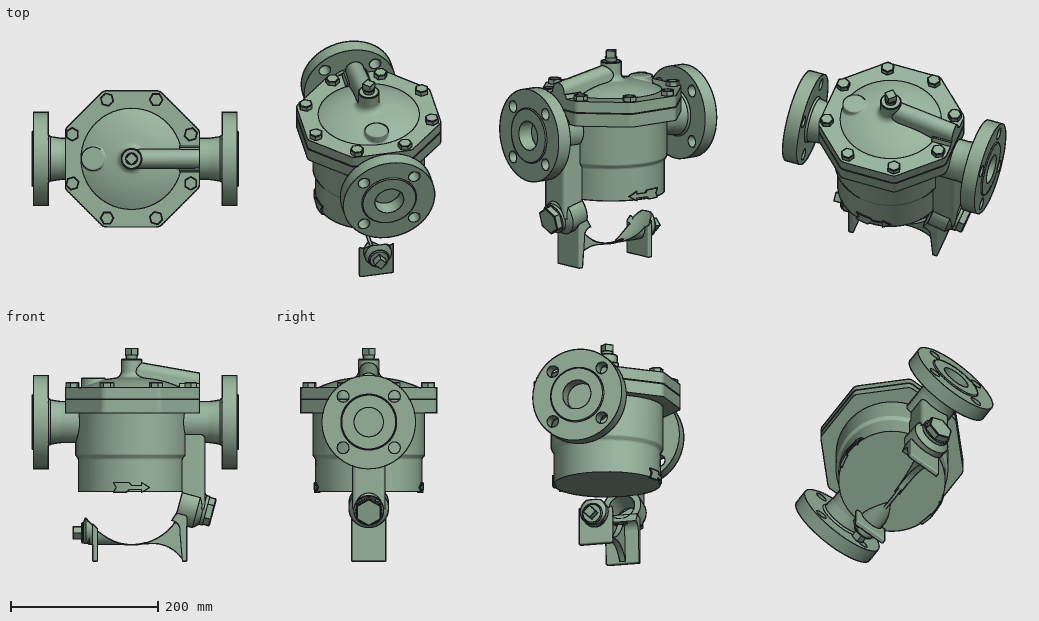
import cadquery as cq
import math

flange_face_x = 140.0
raised_face_height = 1.6
raised_face_dia = 76.0
raised_face_chamfer = 1.4
flange_dia = 127.0
flange_back_x = 118.0
flange_hole_dia = 16.0
flange_hole_circle_dia = 98.6
neck_dia = 56.0
neck_flare_start_x = 100.0
neck_flare_mid_x = 115.0
neck_flare_mid_radius = 30.3
neck_flange_radius = 32.5
port_dia = 40.0
port_depth = flange_face_x - flange_back_x

body_x = -5.0
body_upper_radius = 76.0
body_lower_radius = 72.3
body_step_top_z = -44.5
body_step_bottom_z = -50.0
body_step_fillet = 3.3
body_bottom_z = -94.3
bowl_inner_radius = 67.5

octagon_apothem = 92.5
octagon_left_half_width = 90.0
octagon_corner_fillet = 10.0
octagon_bottom_z = 12.6
gasket_z = 30.3
gasket_height = 1.0
gasket_recess = 0.4
cover_top_z = 46.7

bolt_count = 8
bolt_circle_radius = 87.0
bolt_head_dia = 18.5
bolt_head_height = 6.8
bolt_head_chamfer = 0.8
bolt_head_turn = -7.5

dome_radius = 68.7
dome_edge_rise = 0.8
dome_rim_radius = 67.0
dome_mid_radius = 42.0
dome_mid_z = 56.2
dome_top_z = 59.7
stem_base_radius = 22.4
stem_dia = 28.0
stem_fillet_top_z = 69.6
stem_top_z = 85.5
stem_edge_chamfer = 1.0
plug_square = 12.0
plug_collar_dia = 16.0
plug_collar_taper = 0.8
stem_plug_square_z = 90.7
stem_plug_top_z = 100.0

pad_x = -57.0
pad_radius = 16.0
pad_top_z = 59.7
pad_edge_fillet = 1.8
pad_base_fillet = 3.0

passage_radius = 12.5
passage_slope = 10.0
passage_end_z = 54.0
passage_web_depth = 30.0
passage_web_half_width = 15.2
passage_pad_half_width = 17.7
passage_pad_top_half_width = 15.2
passage_pad_left_x = 60.0
passage_pad_top_z = 52.4

rib_right_x = 94.8
rib_half_width = 22.3
rib_edge_fillet = 6.0
rib_bottom_z = -118.0

barrel_end_x = 105.3
barrel_end_z = -122.8
barrel_tilt = 15.0
barrel_radius = 27.0
barrel_neck_radius = 20.2
barrel_length = 47.2
barrel_mouth_radius = 45.0
barrel_mouth_depth = 20.0
barrel_taper_start = 14.0
barrel_taper_end = 21.6
barrel_bore_dia = 36.0
barrel_bore_floor = 11.0
hex_plug_length = 9.5
hex_plug_dia = 38.0
hex_plug_chamfer = 1.0

foot_bottom_z = -189.0
foot_half_width = 23.4
foot_edge_fillet = 1.7
left_foot_x = -54.4
left_foot_thickness = 6.8
right_foot_outer_x = 70.1
right_foot_bottom_x = 64.0
right_foot_waist_x = 60.5
right_foot_waist_z = -148.0
right_foot_bend_x = 57.6
right_foot_bend_z = -138.0
right_foot_shoulder_x = 49.5
right_foot_shoulder_z = -133.7
right_foot_top_x = 56.5
right_foot_top_z = -122.5
web_thickness = 8.0
web_start_x = 15.0
web_middle_x = 41.0
web_middle_z = -168.0
web_bottom_x = 64.7

drain_z = -150.4
drain_face_x = -73.0
drain_boss_dia = 28.0
drain_flare_x = -65.0
drain_flare_end_x = -62.0
drain_root_radius = 16.0
drain_face_chamfer = 1.5
drain_saddle_start_x = -70.5
drain_saddle_end_x = -67.0
drain_saddle_radius = 18.5
drain_saddle_rise = 4.3
drain_plug_end_x = -84.2

keel_thickness = 1.0
keel_half_length = 20.0
keel_half_width = 2.0

arrow_height = 1.7
arrow_tail_x = -29.8
arrow_notch_x = -25.8
arrow_shaft_x = -5.0
arrow_tail_slope = 3.5
arrow_head_x = 8.8
arrow_tip_x = 19.6
arrow_z = -88.8
arrow_half_height = 6.5
arrow_shaft_half_height = 3.0


def cylinder_z(x, y, bottom_z, top_z, radius):
    return cq.Workplane("XY", origin=(x, y, bottom_z)).circle(radius).extrude(top_z - bottom_z)


def box_between(x0, x1, half_width, z0, z1):
    return (
        cq.Workplane("XY", origin=((x0 + x1) / 2, 0, z0))
        .rect(x1 - x0, 2 * half_width)
        .extrude(z1 - z0)
    )


def bowl_space(radius):
    """Half ball below the body, revolved so that its seam lies on the +Y side."""
    bend = radius * math.sqrt(0.5)
    profile = (
        cq.Workplane("YZ", origin=(body_x, 0, body_bottom_z))
        .moveTo(0, 0)
        .lineTo(radius, 0)
        .threePointArc((bend, -bend), (0, -radius))
        .close()
    )
    return profile.revolve(360, (0, 0, 0), (0, 1, 0))


def pipe_end():
    """Right-hand flange and flared neck, revolved about X."""
    raised_face_x = flange_face_x - raised_face_height
    neck_radius = neck_dia / 2
    profile = (
        cq.Workplane("XY")
        .moveTo(0, 0)
        .lineTo(0, neck_radius)
        .lineTo(neck_flare_start_x, neck_radius)
        .lineTo(neck_flare_mid_x, neck_flare_mid_radius)
        .lineTo(flange_back_x, neck_flange_radius)
        .lineTo(flange_back_x, flange_dia / 2)
        .lineTo(raised_face_x, flange_dia / 2)
        .lineTo(raised_face_x, raised_face_dia / 2)
        .lineTo(flange_face_x, raised_face_dia / 2 - raised_face_chamfer)
        .lineTo(flange_face_x, 0)
        .close()
    )
    end = profile.revolve(360, (0, 0, 0), (1, 0, 0))
    holes = (
        cq.Workplane("YZ", origin=(flange_back_x, 0, 0))
        .polarArray(flange_hole_circle_dia / 2, 45, 360, 4)
        .circle(flange_hole_dia / 2)
        .extrude(flange_face_x - flange_back_x)
    )
    return end.cut(holes)


def port_bore():
    return (
        cq.Workplane("YZ", origin=(flange_face_x - port_depth, 0, 0))
        .circle(port_dia / 2)
        .extrude(port_depth)
    )


def body():
    profile = (
        cq.Workplane("XZ")
        .moveTo(0, body_bottom_z)
        .lineTo(body_lower_radius, body_bottom_z)
        .lineTo(body_lower_radius, body_step_bottom_z)
        .lineTo(body_upper_radius, body_step_top_z)
        .lineTo(body_upper_radius, octagon_bottom_z)
        .lineTo(0, octagon_bottom_z)
        .close()
    )
    barrel = profile.revolve(360, (0, 0, 0), (0, 1, 0))
    step_edges = barrel.edges(cq.selectors.BoxSelector(
        (-body_upper_radius, -body_upper_radius, body_step_bottom_z - body_step_fillet),
        (body_upper_radius, body_upper_radius, body_step_top_z + body_step_fillet),
    )).edges("%CIRCLE")
    return step_edges.fillet(body_step_fillet).translate((body_x, 0, 0))


def octagon_plate(bottom_z, top_z, inset):
    """Octagon with rounded corners; its left side is set in a little."""
    across_corners = 2 * (octagon_apothem - inset) / math.cos(math.pi / bolt_count)
    height = top_z - bottom_z
    plate = (
        cq.Workplane("XY", origin=(body_x, 0, bottom_z))
        .transformed(rotate=(0, 0, 180 / bolt_count))
        .polygon(bolt_count, across_corners)
        .extrude(height)
    )
    left_x = body_x - octagon_left_half_width + inset
    right_x = body_x + octagon_apothem
    plate = plate.intersect(box_between(left_x, right_x, octagon_apothem, bottom_z, top_z))
    return plate.edges("|Z").fillet(octagon_corner_fillet)


def clamping_flange():
    gasket_top_z = gasket_z + gasket_height
    lower = octagon_plate(octagon_bottom_z, gasket_z, 0)
    gasket = octagon_plate(gasket_z, gasket_top_z, gasket_recess)
    cover = octagon_plate(gasket_top_z, cover_top_z, 0)
    return lower.union(gasket).union(cover)


def bolt_heads():
    heads = cq.Workplane("XY")
    for i in range(bolt_count):
        bolt_angle = (i + 0.5) * 360 / bolt_count
        angle = math.radians(bolt_angle)
        x = body_x + bolt_circle_radius * math.cos(angle)
        y = bolt_circle_radius * math.sin(angle)
        head = (
            cq.Workplane("XY", origin=(x, y, cover_top_z))
            .transformed(rotate=(0, 0, bolt_angle + bolt_head_turn))
            .polygon(6, bolt_head_dia)
            .extrude(bolt_head_height)
            .faces(">Z")
            .chamfer(bolt_head_chamfer)
        )
        heads = heads.union(head)
    return heads


def dome_and_stem():
    stem_radius = stem_dia / 2
    base_rise = stem_fillet_top_z - dome_top_z
    base_spread = stem_base_radius - stem_radius
    bend = 1 - math.sqrt(0.5)
    profile = (
        cq.Workplane("XZ")
        .moveTo(0, cover_top_z)
        .lineTo(dome_radius, cover_top_z)
        .lineTo(dome_rim_radius, cover_top_z + dome_edge_rise)
        .threePointArc((dome_mid_radius, dome_mid_z), (stem_base_radius, dome_top_z))
        .threePointArc(
            (stem_radius + bend * base_spread, dome_top_z + bend * base_rise),
            (stem_radius, stem_fillet_top_z),
        )
        .lineTo(stem_radius, stem_top_z - stem_edge_chamfer)
        .lineTo(stem_radius - stem_edge_chamfer, stem_top_z)
        .lineTo(0, stem_top_z)
        .close()
    )
    return profile.revolve(360, (0, 0, 0), (0, 1, 0)).translate((body_x, 0, 0))


def stem_plug():
    collar_radius = plug_collar_dia / 2
    collar = (
        cq.Workplane("XY", origin=(body_x, 0, stem_top_z))
        .circle(collar_radius - plug_collar_taper)
        .workplane(offset=stem_plug_square_z - stem_top_z)
        .circle(collar_radius)
        .loft()
    )
    square = (
        cq.Workplane("XY", origin=(body_x, 0, stem_plug_square_z))
        .transformed(rotate=(0, 0, 45))
        .rect(plug_square, plug_square)
        .extrude(stem_plug_top_z - stem_plug_square_z)
    )
    return collar.union(square)


def dome_pad():
    pad = cylinder_z(pad_x, 0, cover_top_z, pad_top_z, pad_radius)
    return pad.faces(">Z").edges().fillet(pad_edge_fillet)


def cover_with_pad():
    """Clamping flange, dome and pad, with a fillet where the pad meets the dome."""
    cover = clamping_flange().union(dome_and_stem()).union(dome_pad())
    margin = 0.1
    around_pad = cq.selectors.BoxSelector(
        (pad_x - pad_radius - margin, -pad_radius - margin, cover_top_z - margin),
        (pad_x + pad_radius + margin, pad_radius + margin, pad_top_z - pad_edge_fillet - margin),
        boundingbox=True,
    )
    return cover.edges(around_pad).fillet(pad_base_fillet)


def sloping_passage():
    """Round passage on a drafted web, sloping down to the right cover edge."""
    end_x = body_x + octagon_apothem
    slope = math.radians(passage_slope)
    length = octagon_apothem / math.cos(slope)
    overrun = passage_web_depth
    plane = cq.Plane(
        origin=(end_x + overrun * math.cos(slope), 0, passage_end_z - overrun * math.sin(slope)),
        xDir=(0, 1, 0),
        normal=(-math.cos(slope), 0, math.sin(slope)),
    )
    reach = length + overrun
    tube = cq.Workplane(plane).circle(passage_radius).extrude(reach)
    down = -1 if plane.yDir.z > 0 else 1
    web = (
        cq.Workplane(plane)
        .moveTo(-passage_radius, 0)
        .lineTo(passage_radius, 0)
        .lineTo(passage_web_half_width, down * passage_web_depth)
        .lineTo(-passage_web_half_width, down * passage_web_depth)
        .close()
        .extrude(reach)
    )
    envelope = box_between(body_x, end_x, stem_top_z, cover_top_z - gasket_height, stem_top_z)
    pad = (
        cq.Workplane("YZ", origin=(passage_pad_left_x, 0, 0))
        .moveTo(-passage_pad_half_width, cover_top_z)
        .lineTo(passage_pad_half_width, cover_top_z)
        .lineTo(passage_pad_top_half_width, passage_pad_top_z)
        .lineTo(-passage_pad_top_half_width, passage_pad_top_z)
        .close()
        .extrude(end_x - passage_pad_left_x)
    )
    return tube.union(web).intersect(envelope).union(pad)


def outlet_rib():
    rib = box_between(body_x, rib_right_x, rib_half_width, rib_bottom_z, 0)
    return rib.edges("|Z and >X").fillet(rib_edge_fillet)


def barrel_plane(distance):
    """Plane across the barrel axis, facing up and left into the bowl."""
    tilt = math.radians(barrel_tilt)
    direction = (-math.cos(tilt), 0, math.sin(tilt))
    origin = (barrel_end_x + distance * direction[0], 0, barrel_end_z + distance * direction[2])
    return cq.Plane(origin=origin, xDir=(0, 1, 0), normal=direction)


def strainer_barrel():
    hexagon = (
        cq.Workplane(barrel_plane(0))
        .transformed(rotate=(0, 0, 90))
        .polygon(6, hex_plug_dia)
        .extrude(hex_plug_length)
        .faces(">X")
        .chamfer(hex_plug_chamfer)
    )
    neck = (
        cq.Workplane(barrel_plane(hex_plug_length))
        .circle(barrel_neck_radius)
        .extrude(barrel_taper_start - hex_plug_length)
    )
    taper = (
        cq.Workplane(barrel_plane(barrel_taper_start))
        .circle(barrel_neck_radius)
        .workplane(offset=barrel_taper_end - barrel_taper_start)
        .circle(barrel_radius)
        .loft()
    )
    tube = (
        cq.Workplane(barrel_plane(barrel_taper_end))
        .circle(barrel_radius)
        .extrude(barrel_length - barrel_taper_end)
    )
    return hexagon.union(neck).union(taper).union(tube)


def barrel_bore():
    return (
        cq.Workplane(barrel_plane(barrel_bore_floor))
        .circle(barrel_bore_dia / 2)
        .extrude(barrel_length - barrel_bore_floor)
    )


def barrel_mouth():
    """Clears the rib away beyond the open end of the barrel."""
    return (
        cq.Workplane(barrel_plane(barrel_length))
        .circle(barrel_mouth_radius)
        .extrude(barrel_mouth_depth)
        .intersect(
            box_between(-flange_face_x, flange_face_x, octagon_apothem, foot_bottom_z, body_bottom_z)
        )
    )


def right_foot():
    leg = (
        cq.Workplane("XZ")
        .moveTo(right_foot_outer_x, foot_bottom_z)
        .lineTo(right_foot_outer_x, right_foot_top_z)
        .lineTo(right_foot_top_x, right_foot_top_z)
        .lineTo(right_foot_shoulder_x, right_foot_shoulder_z)
        .threePointArc(
            (right_foot_bend_x, right_foot_bend_z),
            (right_foot_waist_x, right_foot_waist_z),
        )
        .lineTo(right_foot_bottom_x, foot_bottom_z)
        .close()
        .extrude(foot_half_width, both=True)
    )
    return leg.edges(">X or <Z").fillet(foot_edge_fillet)


def right_foot_web():
    bowl_bottom_z = body_bottom_z - body_lower_radius
    web_bottom_z = foot_bottom_z + foot_edge_fillet
    web = (
        cq.Workplane("XZ")
        .moveTo(body_x, bowl_bottom_z + keel_thickness)
        .lineTo(web_start_x, bowl_bottom_z + keel_thickness)
        .threePointArc((web_middle_x, web_middle_z), (web_bottom_x, web_bottom_z))
        .lineTo(web_bottom_x, right_foot_shoulder_z)
        .lineTo(body_x, right_foot_shoulder_z)
        .close()
        .extrude(web_thickness / 2, both=True)
    )
    return web.cut(bowl_space(body_lower_radius))


def left_foot():
    plate = box_between(
        left_foot_x - left_foot_thickness / 2,
        left_foot_x + left_foot_thickness / 2,
        foot_half_width,
        foot_bottom_z,
        body_bottom_z,
    )
    plate = plate.edges("|Z or <Z").fillet(foot_edge_fillet)
    boss_radius = drain_boss_dia / 2
    drain_profile = (
        cq.Workplane("XY", origin=(0, 0, drain_z))
        .moveTo(drain_face_x, 0)
        .lineTo(drain_face_x, boss_radius - drain_face_chamfer)
        .lineTo(drain_face_x + drain_face_chamfer, boss_radius)
        .lineTo(drain_flare_x, boss_radius)
        .lineTo(drain_flare_end_x, drain_root_radius)
        .lineTo(body_x, drain_root_radius)
        .lineTo(body_x, 0)
        .close()
    )
    boss = drain_profile.revolve(360, (0, 0, 0), (1, 0, 0))
    saddle = (
        cq.Workplane("YZ", origin=(drain_saddle_start_x, 0, drain_z))
        .circle(boss_radius)
        .workplane(offset=drain_saddle_end_x - drain_saddle_start_x)
        .center(0, drain_saddle_rise)
        .circle(drain_saddle_radius)
        .loft()
    )
    saddle_body = (
        cq.Workplane("YZ", origin=(drain_saddle_end_x, 0, drain_z + drain_saddle_rise))
        .circle(drain_saddle_radius)
        .extrude(left_foot_x - drain_saddle_end_x)
    )
    return plate.union(boss).union(saddle).union(saddle_body).cut(bowl_space(body_lower_radius))


def drain_plug():
    return (
        cq.Workplane("YZ", origin=(drain_plug_end_x, 0, drain_z))
        .transformed(rotate=(0, 0, 45))
        .rect(plug_square, plug_square)
        .extrude(drain_face_x - drain_plug_end_x)
    )


def keel():
    shell = bowl_space(body_lower_radius + keel_thickness / 2)
    shell = shell.cut(bowl_space(body_lower_radius - keel_thickness / 2))
    strip = box_between(
        body_x - keel_half_length,
        body_x + keel_half_length,
        keel_half_width,
        foot_bottom_z,
        body_bottom_z,
    )
    return shell.intersect(strip)


def flow_arrow():
    """Arrow pointing to +X, raised on the front and back of the body."""
    top_z = arrow_z + arrow_half_height
    bottom_z = arrow_z - arrow_half_height
    shaft_top_z = arrow_z + arrow_shaft_half_height
    shaft_bottom_z = arrow_z - arrow_shaft_half_height
    reach = body_lower_radius + arrow_height
    outline = [
        (arrow_tail_x, top_z),
        (arrow_shaft_x - arrow_tail_slope, top_z),
        (arrow_shaft_x, shaft_top_z),
        (arrow_head_x, shaft_top_z),
        (arrow_head_x, top_z),
        (arrow_tip_x, arrow_z),
        (arrow_head_x, bottom_z),
        (arrow_head_x, shaft_bottom_z),
        (arrow_shaft_x - arrow_tail_slope, shaft_bottom_z),
        (arrow_shaft_x - 2 * arrow_tail_slope, bottom_z),
        (arrow_tail_x, bottom_z),
        (arrow_notch_x, arrow_z),
    ]
    bar = cq.Workplane("XZ").polyline(outline).close().extrude(reach, both=True)
    band = cylinder_z(body_x, 0, bottom_z, top_z, reach)
    core = cylinder_z(body_x, 0, bottom_z, top_z, body_lower_radius - arrow_height)
    return bar.intersect(band.cut(core))


right_end = pipe_end()
result = body().union(right_end).union(right_end.mirror("YZ"))
result = result.union(cover_with_pad()).union(sloping_passage())
result = result.union(stem_plug()).union(bolt_heads()).union(flow_arrow())

outlet = outlet_rib().union(strainer_barrel()).cut(barrel_mouth())
outlet = outlet.union(right_foot()).cut(bowl_space(bowl_inner_radius)).cut(barrel_bore())
bowl_parts = keel().union(right_foot_web()).union(left_foot()).union(drain_plug())
result = result.union(outlet).union(bowl_parts)
result = result.cut(port_bore()).cut(port_bore().mirror("YZ"))